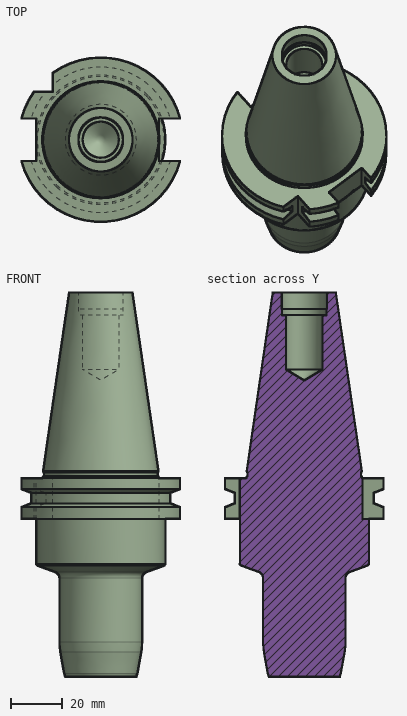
import cadquery as cq
import math

total_height = 148.2
gauge_height = 79.3
flange_top = 76.6
flange_bottom = 61.0

gauge_diameter = 44.6
taper_ratio = 7 / 24
neck_diameter = 44.0
neck_top = 78.7
neck_bottom = 77.5
collar_diameter = 45.2

flange_diameter = 63.5
groove_diameter = 56.2
groove_mid_height = 69.0
groove_floor_width = 4.0
groove_mouth_width = 7.0

body_diameter = 50.0
body_chamfer = 0.6
shoulder_top = 42.8
shoulder_angle = 20.0
nose_diameter = 32.0
nose_fillet = 2.4
nose_band_top = 13.3
nose_taper_top = 9.6
nose_blend_inset = 0.33
nose_tip_diameter = 28.3
nose_tip_chamfer = 0.5
nose_tip_bevel_height = 1.2

slot_width = 16.3
slot_floor_left = 24.9
slot_floor_right = 22.5
corner_notch_offset = 18.5

mouth_diameter = 17.3
mouth_depth = 6.4
bore_diameter = 17.0
bore_depth = 8.7
thread_diameter = 14.0
thread_depth = 29.6
drill_point_angle = 118.0


def make_turned_body():
    gauge_radius = gauge_diameter / 2
    top_radius = gauge_radius - (total_height - gauge_height) * taper_ratio / 2
    body_radius = body_diameter / 2
    nose_radius = nose_diameter / 2
    tip_radius = nose_tip_diameter / 2
    flange_radius = flange_diameter / 2
    groove_radius = groove_diameter / 2
    slope = math.radians(shoulder_angle)

    chamfer_radius = body_radius - body_chamfer
    shoulder_bottom = shoulder_top - (chamfer_radius - nose_radius) * math.tan(slope)
    turn = math.pi / 2 - slope
    tangent_length = nose_fillet * math.tan(turn / 2)
    fillet_center_r = nose_radius + nose_fillet
    fillet_center_z = shoulder_bottom - tangent_length
    fillet_mid = (
        fillet_center_r - nose_fillet * math.cos(turn / 2),
        fillet_center_z + nose_fillet * math.sin(turn / 2),
    )
    fillet_top = (
        nose_radius + tangent_length * math.cos(slope),
        shoulder_bottom + tangent_length * math.sin(slope),
    )

    nose_taper_radius = nose_radius - nose_blend_inset
    blend_height = nose_band_top - nose_taper_top
    blend_arc_radius = (blend_height**2 + nose_blend_inset**2) / (2 * nose_blend_inset)
    blend_mid_inset = blend_arc_radius - math.sqrt(blend_arc_radius**2 - (blend_height / 2) ** 2)
    nose_blend_mid = (nose_radius - blend_mid_inset, nose_band_top - blend_height / 2)

    profile = (
        cq.Workplane("XZ")
        .moveTo(0, 0)
        .lineTo(tip_radius - nose_tip_chamfer, 0)
        .lineTo(tip_radius, nose_tip_bevel_height)
        .lineTo(nose_taper_radius, nose_taper_top)
        .threePointArc(nose_blend_mid, (nose_radius, nose_band_top))
        .lineTo(nose_radius, fillet_center_z)
        .threePointArc(fillet_mid, fillet_top)
        .lineTo(chamfer_radius, shoulder_top)
        .lineTo(body_radius, shoulder_top + body_chamfer)
        .lineTo(body_radius, flange_bottom)
        .lineTo(flange_radius, flange_bottom)
        .lineTo(flange_radius, groove_mid_height - groove_mouth_width / 2)
        .lineTo(groove_radius, groove_mid_height - groove_floor_width / 2)
        .lineTo(groove_radius, groove_mid_height + groove_floor_width / 2)
        .lineTo(flange_radius, groove_mid_height + groove_mouth_width / 2)
        .lineTo(flange_radius, flange_top)
        .lineTo(collar_diameter / 2, flange_top)
        .lineTo(neck_diameter / 2, neck_bottom)
        .lineTo(neck_diameter / 2, neck_top)
        .lineTo(gauge_radius, gauge_height)
        .lineTo(top_radius, total_height)
        .lineTo(0, total_height)
        .close()
    )
    return profile.revolve(360, (0, 0), (0, 1))


def make_notch(x_min, x_max, y_min, y_max):
    return (
        cq.Workplane("XY", origin=(0, 0, flange_bottom))
        .moveTo(x_min, y_min)
        .lineTo(x_max, y_min)
        .lineTo(x_max, y_max)
        .lineTo(x_min, y_max)
        .close()
        .extrude(flange_top - flange_bottom)
    )


def make_bore():
    mouth_radius = mouth_diameter / 2
    mouth_floor = total_height - mouth_depth
    bore_radius = bore_diameter / 2
    thread_radius = thread_diameter / 2
    step = total_height - bore_depth
    floor = total_height - thread_depth
    point = floor - thread_radius / math.tan(math.radians(drill_point_angle / 2))
    return (
        cq.Workplane("XZ")
        .moveTo(0, total_height)
        .lineTo(mouth_radius, total_height)
        .lineTo(mouth_radius, mouth_floor)
        .lineTo(bore_radius, mouth_floor)
        .lineTo(bore_radius, step)
        .lineTo(thread_radius, step)
        .lineTo(thread_radius, floor)
        .lineTo(0, point)
        .close()
        .revolve(360, (0, 0), (0, 1))
    )


result = make_turned_body()
half_slot = slot_width / 2
result = result.cut(make_notch(-flange_diameter, -slot_floor_left, -half_slot, half_slot))
result = result.cut(make_notch(slot_floor_right, flange_diameter, -half_slot, half_slot))
result = result.cut(
    make_notch(-flange_diameter, -corner_notch_offset, corner_notch_offset, flange_diameter)
)
result = result.cut(make_bore())